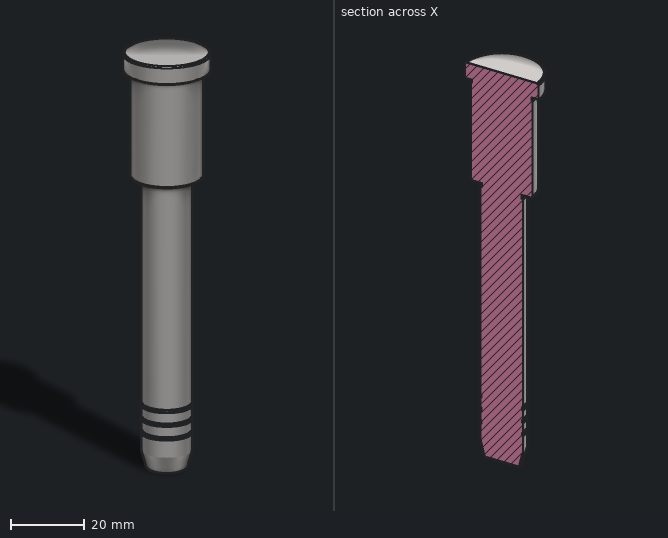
import cadquery as cq

length = 120.0

head_diameter = 24.0
head_height = 5.0
head_chamfer = 0.5

seat_diameter = 20.0
seat_bottom = 84.0
seat_chamfer = 0.5

seat_relief_depth = 0.4
seat_relief_width = 1.0

shaft_diameter = 14.0
shaft_relief_depth = 0.6
shaft_relief_width = 1.0

groove_count = 3
groove_pitch = 4.0
lowest_groove_bottom = 10.1
groove_width = 1.0
groove_depth = 0.4

taper_height = 5.0
taper_end_diameter = 11.3
tip_fillet = 0.6


def cylinder(diameter, bottom, top):
    """Solid cylinder on the Z axis between two heights."""
    return cq.Workplane("XY").workplane(offset=bottom).circle(diameter / 2).extrude(top - bottom)


def groove_cutter(diameter, depth, width, bottom, lower_slope=0, upper_slope=0):
    """Ring that cuts a groove; its walls spread apart outwards by the two slopes."""
    outer = diameter / 2
    floor = outer - depth
    return (
        cq.Workplane("XZ")
        .moveTo(floor, bottom + lower_slope)
        .lineTo(outer, bottom)
        .lineTo(outer, bottom + width)
        .lineTo(floor, bottom + width - upper_slope)
        .close()
        .revolve(360, (0, 0, 0), (0, 1, 0))
    )


def make_head():
    head = cylinder(head_diameter, length - head_height, length)
    return head.faces(">Z").chamfer(head_chamfer)


def make_seat():
    seat = cylinder(seat_diameter, seat_bottom, length - head_height)
    seat = seat.faces("<Z").chamfer(seat_chamfer)
    relief_bottom = length - head_height - seat_relief_width
    relief = groove_cutter(
        seat_diameter, seat_relief_depth, seat_relief_width, relief_bottom, lower_slope=seat_relief_depth
    )
    return seat.cut(relief)


def make_shaft():
    shaft = cylinder(shaft_diameter, taper_height, seat_bottom)
    relief_bottom = seat_bottom - shaft_relief_width
    shaft = shaft.cut(groove_cutter(shaft_diameter, shaft_relief_depth, shaft_relief_width, relief_bottom))
    for index in range(groove_count):
        bottom = lowest_groove_bottom + index * groove_pitch
        groove = groove_cutter(
            shaft_diameter, groove_depth, groove_width, bottom, upper_slope=groove_depth
        )
        shaft = shaft.cut(groove)
    return shaft


def make_tip():
    tip = (
        cq.Workplane("XY")
        .circle(taper_end_diameter / 2)
        .workplane(offset=taper_height)
        .circle(shaft_diameter / 2)
        .loft()
    )
    return tip.faces("<Z").edges().fillet(tip_fillet)


result = make_head().union(make_seat()).union(make_shaft()).union(make_tip())